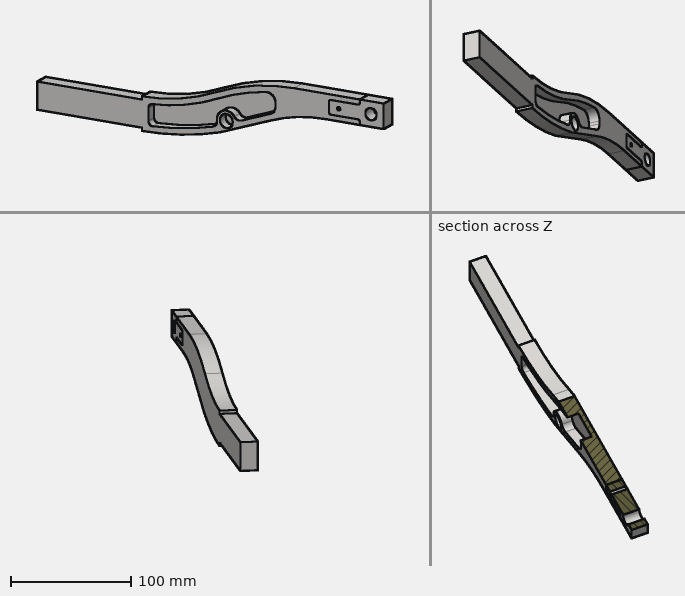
import cadquery as cq
import math

LENGTH = 330.0
THICKNESS = 15.0
HEIGHT = 60.5

SHANK_LENGTH = 99.5
SHANK_HEIGHT = 24.8
HEEL_HEIGHT = 30.5
TIP_HEIGHT = 22.5
SHANK_BOTTOM = (HEEL_HEIGHT - SHANK_HEIGHT) / 2
SHANK_TOP = SHANK_BOTTOM + SHANK_HEIGHT
TIP_BOTTOM = HEIGHT - TIP_HEIGHT
TIP_MIDDLE = HEIGHT - TIP_HEIGHT / 2

UPPER_INFLECTION = (169.5, 45.0)
UPPER_BEND_END = 244.5
LOWER_STRAIGHT_START = (174.2, 10.5)
LOWER_STRAIGHT_END = (222.0, 28.5)
LOWER_BEND_END = 274.0

RIM_WIDTH = 5.5
POCKET_DEPTH = 10.0
POCKET_START = 106.0
POCKET_END = 227.0
POCKET_CORNER_RADIUS = 4.0
POCKET_END_RADIUS = 8.2
BOSS_CENTER = (180.2, 21.5)
BOSS_RADIUS = 9.08
BOSS_BLEND_RADIUS = 6.0
BOSS_SEARCH_MARGIN = 1.0
PIVOT_DIAMETER = 12.2
PIVOT_DEPTH = POCKET_DEPTH

JOINT_X = 307.2
TONGUE_START = 278.0
TONGUE_HEIGHT = 13.0
TONGUE_CORNER_RADIUS = 2.0
PIN_HOLE_X = 287.0
PIN_HOLE_DIAMETER = 2.8
EYE_X = 317.8
EYE_DIAMETER = 10.5


def front_plane():
    """XZ sketch plane on the front face; negative extrusion goes into the part."""
    return cq.Workplane("XZ")


def bend_middle(level_end, sloped_end):
    """Middle point of the arc that is level at one end and sloped at the other."""
    run = sloped_end[0] - level_end[0]
    rise = sloped_end[1] - level_end[1]
    half_angle = math.atan2(abs(rise), abs(run))
    radius = math.hypot(run, rise) / (2 * math.sin(half_angle))
    return (
        level_end[0] + math.copysign(radius * math.sin(half_angle), run),
        level_end[1] + math.copysign(radius * (1 - math.cos(half_angle)), rise),
    )


def curved_arm():
    """Closed outline of the S-shaped arm, from the heel to the far end."""
    heel_bottom = (SHANK_LENGTH, 0)
    heel_top = (SHANK_LENGTH, HEEL_HEIGHT)
    lower_bend_end = (LOWER_BEND_END, TIP_BOTTOM)
    upper_bend_end = (UPPER_BEND_END, HEIGHT)
    return (
        front_plane()
        .moveTo(*heel_bottom)
        .threePointArc(bend_middle(heel_bottom, LOWER_STRAIGHT_START), LOWER_STRAIGHT_START)
        .lineTo(*LOWER_STRAIGHT_END)
        .threePointArc(bend_middle(lower_bend_end, LOWER_STRAIGHT_END), lower_bend_end)
        .lineTo(LENGTH, TIP_BOTTOM)
        .lineTo(LENGTH, HEIGHT)
        .lineTo(*upper_bend_end)
        .threePointArc(bend_middle(upper_bend_end, UPPER_INFLECTION), UPPER_INFLECTION)
        .threePointArc(bend_middle(heel_top, UPPER_INFLECTION), heel_top)
        .close()
    )


def block(x_start, x_end, z_start, z_end, depth=THICKNESS):
    """Rectangular block that starts at the front face."""
    corners = [(x_start, z_start), (x_end, z_start), (x_end, z_end), (x_start, z_end)]
    return front_plane().polyline(corners).close().extrude(-depth)


def cylinder(center, diameter, depth=THICKNESS):
    """Round plug along Y that starts at the front face."""
    return front_plane().center(*center).circle(diameter / 2).extrude(-depth)


def pocket():
    """Recess that follows the arm's outline and curves around the pivot boss."""
    recess = curved_arm().offset2D(-RIM_WIDTH).extrude(-POCKET_DEPTH)
    recess = recess.intersect(block(POCKET_START, POCKET_END, 0, HEIGHT, POCKET_DEPTH))
    recess = recess.edges("|Y and <X").fillet(POCKET_CORNER_RADIUS)
    recess = recess.edges("|Y and >X").fillet(POCKET_END_RADIUS)
    recess = recess.cut(cylinder(BOSS_CENTER, 2 * BOSS_RADIUS, POCKET_DEPTH))
    x, z = BOSS_CENTER
    reach = BOSS_RADIUS + BOSS_SEARCH_MARGIN
    boss_zone = cq.selectors.BoxSelector((x - reach, 0, 0), (x + reach, POCKET_DEPTH, z + reach / 2))
    return recess.edges("|Y").edges(boss_zone).fillet(BOSS_BLEND_RADIUS)


def end_piece_blank():
    """Full-thickness end block with a tongue, without its holes."""
    half_tongue = TONGUE_HEIGHT / 2
    tongue = block(TONGUE_START, LENGTH, TIP_MIDDLE - half_tongue, TIP_MIDDLE + half_tongue)
    tongue = tongue.edges("|Y and <X").fillet(TONGUE_CORNER_RADIUS)
    head = block(JOINT_X, LENGTH, TIP_BOTTOM, HEIGHT)
    joint_corners = cq.selectors.BoxSelector(
        (JOINT_X - TONGUE_CORNER_RADIUS, 0, TIP_MIDDLE - half_tongue - TONGUE_CORNER_RADIUS),
        (JOINT_X + TONGUE_CORNER_RADIUS, THICKNESS, TIP_MIDDLE + half_tongue + TONGUE_CORNER_RADIUS),
    )
    return head.union(tongue).edges("|Y").edges(joint_corners).fillet(TONGUE_CORNER_RADIUS)


def build_end_piece():
    """End piece with its eye and the pin hole through its tongue."""
    eye = cylinder((EYE_X, TIP_MIDDLE), EYE_DIAMETER)
    pin_hole = cylinder((PIN_HOLE_X, TIP_MIDDLE), PIN_HOLE_DIAMETER)
    return end_piece_blank().cut(eye).cut(pin_hole)


def build_lever():
    """Shank and curved arm, with the pocket, the pivot hole and a slot for the end piece."""
    shank = block(0, SHANK_LENGTH, SHANK_BOTTOM, SHANK_TOP)
    pivot_hole = cylinder(BOSS_CENTER, PIVOT_DIAMETER, PIVOT_DEPTH)
    body = curved_arm().extrude(-THICKNESS).union(shank)
    return body.cut(pocket()).cut(pivot_hole).cut(end_piece_blank())


lever = build_lever()
end_piece = build_end_piece()
result = cq.Compound.makeCompound([lever.val(), end_piece.val()])